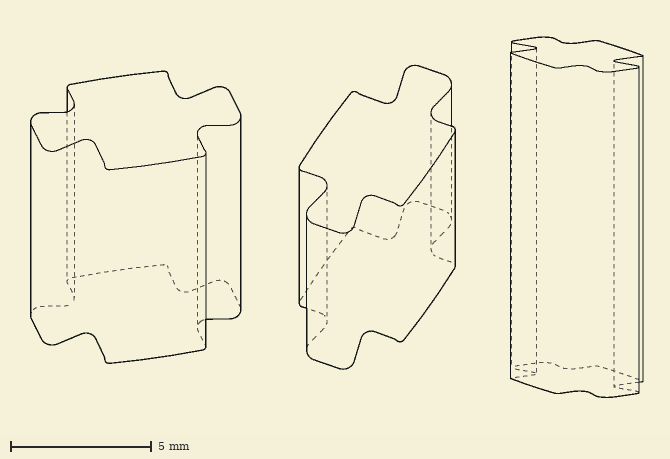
import cadquery as cq
import math

LENGTH = 11.8
KEY_RADIUS = 0.41
ROOT_RADIUS = 0.37
LIP_RADIUS = 0.17
LONG_BLEND_RADIUS = 0.53
SHORT_BLEND_RADIUS = 0.24
BODY_SHIFT = (0.06, -0.04)
SIDE_BULGE = 0.05

LONG_TIP = [(-0.4, 2.44, LIP_RADIUS), (-0.22, 2.22, LONG_BLEND_RADIUS)]
KEY = [
    (0.83, 1.55, ROOT_RADIUS),
    (1.63, 3.17, KEY_RADIUS),
    (3.34, 2.12, KEY_RADIUS),
    (1.8, 0.95, ROOT_RADIUS),
]
SHORT_TIP = [(2.69, 0.41, SHORT_BLEND_RADIUS), (2.99, 0.27, LIP_RADIUS)]


def placed_half(turn):
    """Corners of one half; turn is 1 as listed or -1 after a half turn."""
    def placed(corners, shift):
        return [(turn * x + shift[0], turn * y + shift[1], radius) for x, y, radius in corners]

    return placed(LONG_TIP, BODY_SHIFT) + placed(KEY, (0, 0)) + placed(SHORT_TIP, BODY_SHIFT)


def toward(start, end, distance):
    """Point at the given distance from start on the way to end."""
    ratio = distance / math.dist(start, end)
    return (start[0] + ratio * (end[0] - start[0]), start[1] + ratio * (end[1] - start[1]))


def corner_arc(before, corner, after, radius):
    """Start, middle and end of the arc that rounds a corner."""
    angle_in = math.atan2(before[1] - corner[1], before[0] - corner[0])
    angle_out = math.atan2(after[1] - corner[1], after[0] - corner[0])
    half_angle = math.acos(math.cos(angle_in - angle_out)) / 2
    setback = radius / math.tan(half_angle)
    start = toward(corner, before, setback)
    end = toward(corner, after, setback)
    chord_middle = ((start[0] + end[0]) / 2, (start[1] + end[1]) / 2)
    middle = toward(corner, chord_middle, radius / math.sin(half_angle) - radius)
    return start, middle, end


def bulge_point(start, end):
    """Middle of a body side, raised outward from its chord."""
    chord = math.dist(start, end)
    normal = ((start[1] - end[1]) / chord, (end[0] - start[0]) / chord)
    return (
        (start[0] + end[0]) / 2 + SIDE_BULGE * normal[0],
        (start[1] + end[1]) / 2 + SIDE_BULGE * normal[1],
    )


def rounded_half(turn):
    """Corner arcs along one half of the section."""
    corners = placed_half(turn)
    other_half = placed_half(-turn)
    ring = [corner[:2] for corner in [other_half[-1]] + corners + [other_half[0]]]
    return [
        corner_arc(ring[i], ring[i + 1], ring[i + 2], radius)
        for i, (_, _, radius) in enumerate(corners)
    ]


def section():
    """Closed outline: two rounded halves joined by the curved sides."""
    first_half = rounded_half(1)
    second_half = rounded_half(-1)
    outline = cq.Workplane("XY").moveTo(*first_half[0][0])
    for arcs, next_arcs in ((first_half, second_half), (second_half, first_half)):
        for index, (start, middle, end) in enumerate(arcs):
            if index > 0:
                outline = outline.lineTo(*start)
            outline = outline.threePointArc(middle, end)
        side_start = arcs[-1][2]
        side_end = next_arcs[0][0]
        outline = outline.threePointArc(bulge_point(side_start, side_end), side_end)
    return outline.close()


result = section().extrude(LENGTH)